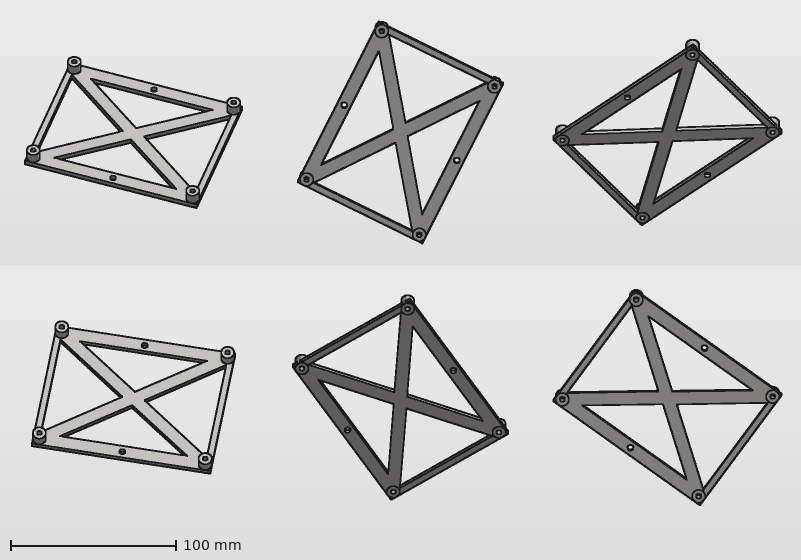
import cadquery as cq

plate_length = 109.7
plate_width = 84.3
plate_thickness = 3.3
end_rail_width = 4.0
side_rail_width = 8.1

side_window_half_length = 39.0
side_window_tip = 4.8
end_window_half_width = 33.2
end_window_tip = 6.8

mount_hole_diameter = 3.5
standoff_diameter = 8.0
standoff_bore = 2.9
total_height = 10.0
standoff_spacing_x = 101.9
standoff_spacing_y = 76.1

standoff_x = standoff_spacing_x / 2
standoff_y = standoff_spacing_y / 2
window_half_length = plate_length / 2 - end_rail_width
window_half_width = plate_width / 2 - side_rail_width
standoff_places = [(sx * standoff_x, sy * standoff_y) for sx in (-1, 1) for sy in (-1, 1)]


def make_blank():
    """Block spanning the plate outline over the full height."""
    return cq.Workplane("XY").box(plate_length, plate_width, total_height, centered=(True, True, False))


def make_prism(points):
    """Triangular cutter through the plate thickness."""
    return cq.Workplane("XY").polyline(points).close().extrude(plate_thickness)


def make_standoff(place):
    """Tube through the full height, trimmed flush with the plate's outer faces."""
    tube = (
        cq.Workplane("XY")
        .center(*place)
        .circle(standoff_diameter / 2)
        .circle(standoff_bore / 2)
        .extrude(total_height)
    )
    return tube.intersect(make_blank())


def make_plate():
    """Rectangular frame with crossed braces, mounting holes and standoff seats."""
    plate = cq.Workplane("XY").box(plate_length, plate_width, plate_thickness, centered=(True, True, False))
    for side in (-1, 1):
        side_window = [
            (-side_window_half_length, side * window_half_width),
            (side_window_half_length, side * window_half_width),
            (0, side * side_window_tip),
        ]
        end_window = [
            (side * window_half_length, -end_window_half_width),
            (side * window_half_length, end_window_half_width),
            (side * end_window_tip, 0),
        ]
        plate = plate.cut(make_prism(side_window)).cut(make_prism(end_window))

    mount_holes = (
        cq.Workplane("XY")
        .pushPoints([(0, -standoff_y), (0, standoff_y)])
        .circle(mount_hole_diameter / 2)
        .extrude(plate_thickness)
    )
    seats = (
        cq.Workplane("XY")
        .pushPoints(standoff_places)
        .circle(standoff_diameter / 2)
        .extrude(plate_thickness)
    )
    return plate.cut(mount_holes).cut(seats)


plate = make_plate()
standoffs = [make_standoff(place) for place in standoff_places]
result = cq.Compound.makeCompound([plate.val(), *[standoff.val() for standoff in standoffs]])